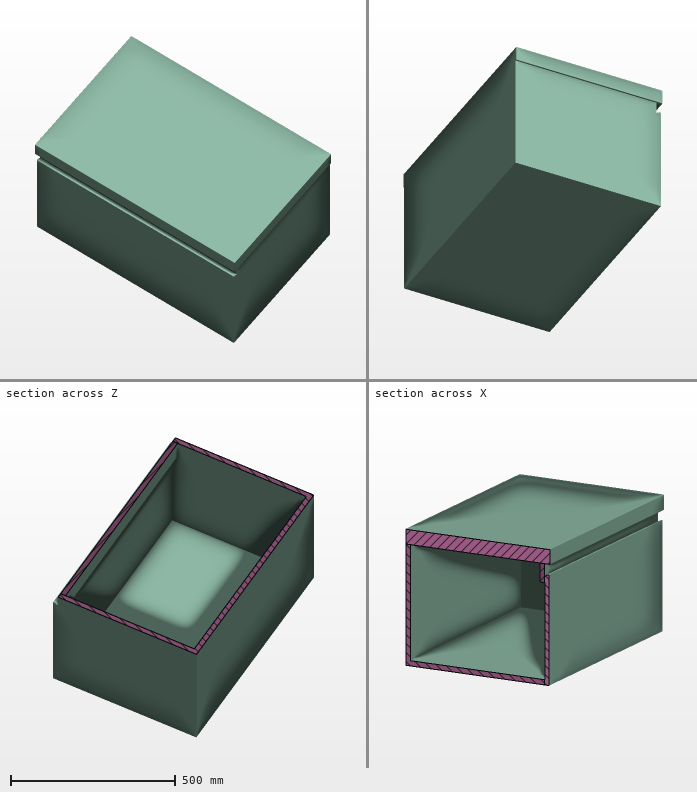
import cadquery as cq

width = 750.0
depth = 500.0
height = 430.0

top_thickness = 48.0
side_overhang = 5.0
front_overhang = 3.0
edge_radius = 1.0

board = 18.0
drawer_board = 16.0
finger_gap = 32.0
rail_height = 60.0
bevel_width = 10.0
bevel_drop = 6.0

cabinet_width = width - 2 * side_overhang
inner_width = cabinet_width - 2 * board
cabinet_height = height - top_thickness
cabinet_front = front_overhang + drawer_board
cabinet_depth = depth - cabinet_front
drawer_height = cabinet_height - finger_gap


def box(size_x, size_y, size_z, front_y, bottom_z):
    """Box centred on X, starting at the given front and bottom."""
    return (
        cq.Workplane("XY")
        .box(size_x, size_y, size_z, centered=(True, False, False))
        .translate((0, front_y, bottom_z))
    )


def make_countertop():
    """Slab with all its edges slightly rounded."""
    slab = box(width, depth, top_thickness, 0, cabinet_height)
    return slab.edges().fillet(edge_radius)


def make_carcass():
    """Two sides, floor and back, open at the front and top."""
    outer = box(cabinet_width, cabinet_depth, cabinet_height, cabinet_front, 0)
    cavity = box(inner_width, cabinet_depth - board, cabinet_height - board, cabinet_front, board)
    return outer.cut(cavity)


def make_front_rail():
    """Rail between the carcass sides, flush with their front edges."""
    return box(inner_width, board, rail_height, cabinet_front, cabinet_height - rail_height)


def make_drawer_front():
    """Front board whose top slopes down towards the finger gap behind it."""
    profile = [
        (front_overhang, 0),
        (cabinet_front, 0),
        (cabinet_front, drawer_height - bevel_drop),
        (cabinet_front - bevel_width, drawer_height),
        (front_overhang, drawer_height),
    ]
    return cq.Workplane("YZ").polyline(profile).close().extrude(cabinet_width / 2, both=True)


countertop = make_countertop()
carcass = make_carcass()
front_rail = make_front_rail()
drawer_front = make_drawer_front()

result = cq.Compound.makeCompound([
    countertop.val(),
    carcass.val(),
    front_rail.val(),
    drawer_front.val(),
])